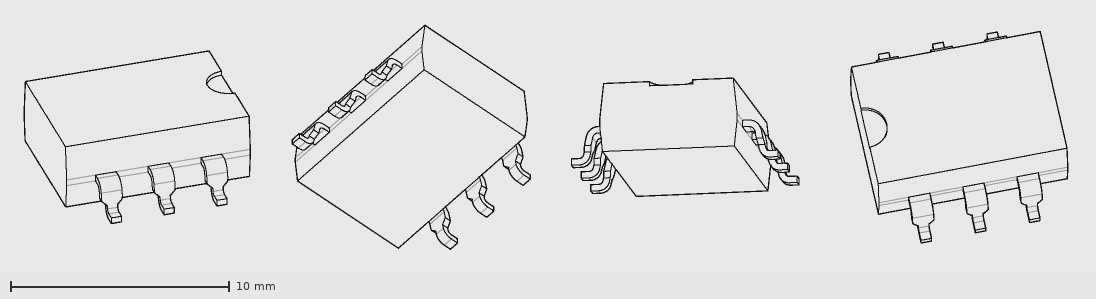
import math

import cadquery as cq

SPAN = 9.62
TOP_Z = 3.4

BODY_LENGTH = 8.85
STANDOFF = 0.18
WAIST_WIDTH = 6.41
TOP_WIDTH = 6.04
BOTTOM_WIDTH = 6.14

NOTCH_RADIUS = 1.0
NOTCH_DEPTH = 0.2
NOTCH_X = -0.125

LEADS_PER_SIDE = 3
LEAD_PITCH = 2.54
LEAD_THICKNESS = 0.31
LEAD_TOP_Z = 1.72
SHOULDER_WIDTH = 1.0
FOOT_WIDTH = 0.5
SHOULDER_END_X = 3.5
LEG_TILT = math.radians(12)
UPPER_INNER_RADIUS = 0.28
LOWER_INNER_RADIUS = 0.19
TAPER_TOP_Z = 0.85

SHOULDER_BOTTOM_Z = LEAD_TOP_Z - LEAD_THICKNESS
UPPER_OUTER_RADIUS = UPPER_INNER_RADIUS + LEAD_THICKNESS
LOWER_OUTER_RADIUS = LOWER_INNER_RADIUS + LEAD_THICKNESS
TAPER_BOTTOM_Z = TAPER_TOP_Z - (SHOULDER_WIDTH - FOOT_WIDTH) / 2

UPPER_CENTRE = (SHOULDER_END_X, LEAD_TOP_Z - UPPER_OUTER_RADIUS)
LOWER_CENTRE_Z = LOWER_OUTER_RADIUS
CENTRE_DROP = UPPER_CENTRE[1] - LOWER_CENTRE_Z
CENTRE_RUN = (
    UPPER_OUTER_RADIUS + LOWER_INNER_RADIUS + CENTRE_DROP * math.sin(LEG_TILT)
) / math.cos(LEG_TILT)
LOWER_CENTRE = (SHOULDER_END_X + CENTRE_RUN, LOWER_CENTRE_Z)

LEG_NORMAL = LEG_TILT
UPPER_BEND_MIDDLE = (math.pi / 2 + LEG_NORMAL) / 2
LOWER_BEND_END = LEG_NORMAL + math.pi
LOWER_BEND_MIDDLE = UPPER_BEND_MIDDLE + math.pi


def on_circle(centre, radius, angle):
    """Point on a circle at the given angle."""
    return (
        centre[0] + radius * math.cos(angle),
        centre[1] + radius * math.sin(angle),
    )


def make_body():
    """Block with sides drawn in above and below a straight waist, notched at the +Y end."""
    outline = [
        (BOTTOM_WIDTH / 2, STANDOFF),
        (WAIST_WIDTH / 2, SHOULDER_BOTTOM_Z),
        (WAIST_WIDTH / 2, LEAD_TOP_Z),
        (TOP_WIDTH / 2, TOP_Z),
    ]
    mirrored = [(-x, z) for x, z in reversed(outline)]
    block = (
        cq.Workplane("XZ")
        .polyline(outline + mirrored)
        .close()
        .extrude(BODY_LENGTH / 2, both=True)
    )
    notch = (
        cq.Workplane("XY", origin=(NOTCH_X, BODY_LENGTH / 2, TOP_Z - NOTCH_DEPTH))
        .circle(NOTCH_RADIUS)
        .extrude(NOTCH_DEPTH)
    )
    return block.cut(notch)


def make_lead():
    """Gull-wing lead on the +X side, centred on Y = 0, flush against the body's waist."""
    bent_strip = (
        cq.Workplane("XZ")
        .moveTo(WAIST_WIDTH / 2, LEAD_TOP_Z)
        .lineTo(SHOULDER_END_X, LEAD_TOP_Z)
        .threePointArc(
            on_circle(UPPER_CENTRE, UPPER_OUTER_RADIUS, UPPER_BEND_MIDDLE),
            on_circle(UPPER_CENTRE, UPPER_OUTER_RADIUS, LEG_NORMAL),
        )
        .lineTo(*on_circle(LOWER_CENTRE, LOWER_INNER_RADIUS, LOWER_BEND_END))
        .threePointArc(
            on_circle(LOWER_CENTRE, LOWER_INNER_RADIUS, LOWER_BEND_MIDDLE),
            (LOWER_CENTRE[0], LEAD_THICKNESS),
        )
        .lineTo(SPAN / 2, LEAD_THICKNESS)
        .lineTo(SPAN / 2, 0)
        .lineTo(LOWER_CENTRE[0], 0)
        .threePointArc(
            on_circle(LOWER_CENTRE, LOWER_OUTER_RADIUS, LOWER_BEND_MIDDLE),
            on_circle(LOWER_CENTRE, LOWER_OUTER_RADIUS, LOWER_BEND_END),
        )
        .lineTo(*on_circle(UPPER_CENTRE, UPPER_INNER_RADIUS, LEG_NORMAL))
        .threePointArc(
            on_circle(UPPER_CENTRE, UPPER_INNER_RADIUS, UPPER_BEND_MIDDLE),
            (SHOULDER_END_X, SHOULDER_BOTTOM_Z),
        )
        .lineTo(WAIST_WIDTH / 2, SHOULDER_BOTTOM_Z)
        .close()
        .extrude(SHOULDER_WIDTH / 2, both=True)
    )
    half_outline = [
        (FOOT_WIDTH / 2, 0),
        (FOOT_WIDTH / 2, TAPER_BOTTOM_Z),
        (SHOULDER_WIDTH / 2, TAPER_TOP_Z),
        (SHOULDER_WIDTH / 2, LEAD_TOP_Z),
    ]
    mirrored = [(-y, z) for y, z in reversed(half_outline)]
    width_limit = (
        cq.Workplane("YZ")
        .polyline(half_outline + mirrored)
        .close()
        .extrude(SPAN / 2)
    )
    return bent_strip.intersect(width_limit)


def make_leads():
    """All leads, in a row along each long side of the body."""
    right_lead = make_lead()
    left_lead = right_lead.mirror("YZ")
    leads = []
    for index in range(LEADS_PER_SIDE):
        y = (index - (LEADS_PER_SIDE - 1) / 2) * LEAD_PITCH
        for lead in (left_lead, right_lead):
            leads.append(lead.translate((0, y, 0)).val())
    return leads


body = make_body()
leads = make_leads()

result = cq.Compound.makeCompound([body.val(), *leads])